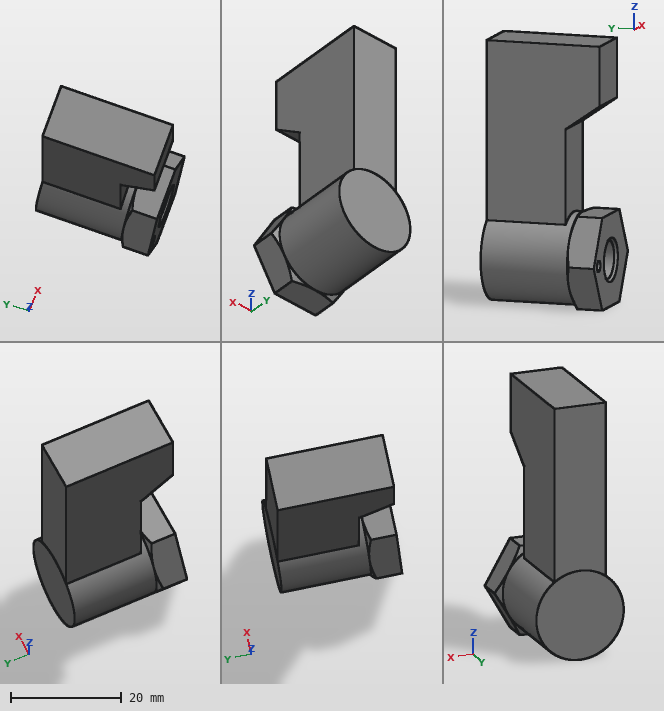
import cadquery as cq
import math


overall_height = 48.5
overall_depth = 22.0

across_flats = 17.0
head_length = 5.55
head_chamfer_angle = 30.0
shank_radius = across_flats / 2
corner_radius = shank_radius / math.cos(math.radians(30))

bore_diameter = 7.0
bore_mouth_diameter = 8.05
bore_depth = 15.05
bore_chamfer = (bore_mouth_diameter - bore_diameter) / 2
drill_diameter = 2.0
drill_depth = 3.0
drill_offset = 7.0
drill_point_angle = 118.0

arm_width = 10.0
arm_depth = 15.05
nose_depth = 21.55
nose_height = 11.0
nose_slope_height = 4.55
arm_top = overall_height - shank_radius
arm_front = overall_depth - arm_depth
nose_front = overall_depth - nose_depth


def revolve_about_y(profile):
    """Revolve a closed (radius, y) profile about the Y axis."""
    return cq.Workplane("XY").polyline(profile).close().revolve(360, (0, 0), (0, 1))


def make_hex_head():
    """Hexagonal prism with its rear corners turned back to a cone."""
    prism = (
        cq.Workplane("XZ")
        .polygon(6, 2 * corner_radius)
        .extrude(-head_length)
    )
    cone_drop = (corner_radius - shank_radius) * math.tan(math.radians(head_chamfer_angle))
    envelope = revolve_about_y([
        (0, 0),
        (2 * corner_radius - shank_radius, 0),
        (2 * corner_radius - shank_radius, head_length - 2 * cone_drop),
        (shank_radius, head_length),
        (0, head_length),
    ])
    return prism.intersect(envelope)


def make_shank():
    """Round shank from the back of the head to the rear face."""
    return (
        cq.Workplane("XZ", origin=(0, head_length, 0))
        .circle(shank_radius)
        .extrude(head_length - overall_depth)
    )


def make_bore():
    """Flat-bottomed bore with a 45 degree chamfer at its mouth."""
    bore_radius = bore_diameter / 2
    return revolve_about_y([
        (0, 0),
        (bore_mouth_diameter / 2, 0),
        (bore_radius, bore_chamfer),
        (bore_radius, bore_depth),
        (0, bore_depth),
    ])


def make_drilled_hole():
    """Small hole with a conical bottom, beside the bore."""
    drill_radius = drill_diameter / 2
    point_length = drill_radius / math.tan(math.radians(drill_point_angle / 2))
    hole = revolve_about_y([
        (0, 0),
        (drill_radius, 0),
        (drill_radius, drill_depth),
        (0, drill_depth + point_length),
    ])
    return hole.translate((-drill_offset, 0, 0))


def make_hub():
    hub = make_hex_head().union(make_shank())
    return hub.cut(make_bore()).cut(make_drilled_hole())


def make_arm():
    """Flat arm with an overhanging nose, saddled onto the shank."""
    nose_bottom = arm_top - nose_height
    arm = (
        cq.Workplane("YZ")
        .moveTo(overall_depth, 0)
        .lineTo(overall_depth, arm_top)
        .lineTo(nose_front, arm_top)
        .lineTo(nose_front, nose_bottom)
        .lineTo(arm_front, nose_bottom - nose_slope_height)
        .lineTo(arm_front, 0)
        .close()
        .extrude(arm_width / 2, both=True)
    )
    return arm.cut(make_shank())


hub = make_hub()
arm = make_arm()

result = cq.Compound.makeCompound([hub.solids().val(), arm.solids().val()])